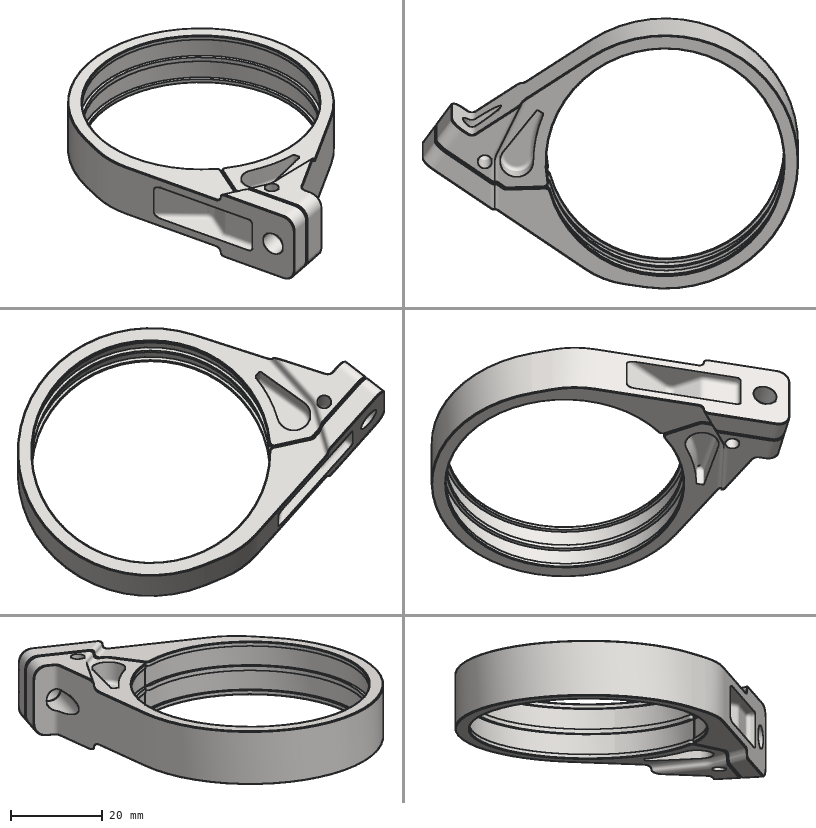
import cadquery as cq
import math

RING_RADIUS = 29.2
BORE_RADIUS = 26.1
RING_HEIGHT = 12.5
LUG_HEIGHT = 16.5
LUG_END_X = 43.85
BASE_Y = -30.3
SHOULDER_Y = -19.1
FLANK_ANGLE = 20.7
FLANK_FILLET = 1.45
BASE_BLEND_RADIUS = 20.0
LUG_CORNER_RADIUS = 3.0
MILL_RADIUS = 1.0
EDGE_BREAK = 0.2

LAND_WIDTH = 1.0
GROOVE_DEPTH = 0.7

SLOT_WIDTH = 0.2
SLOT_Y = -25.2
SLOT_BEND_X = 25.15
SLOT_SLOPE = 36.9
SLOT_BEND_RADIUS = 1.45
SLOT_RUN_IN = 10.95
MOUTH_FILLET = 1.0

STEP_BASE_X = 24.4
STEP_BEND = (31.3, -20.5)
STEP_UPPER_LEAN = 10.0
STEP_BEND_RADIUS = 4.4
STEP_WALL = 0.04

POCKET_LEFT_X = 7.2
POCKET_DEEP_X = 18.3
POCKET_RIGHT_X = 32.9
POCKET_ENTRY_SLOPE = 31.5
POCKET_FLOOR_DEPTH = 2.0
POCKET_HEIGHT = 8.2
POCKET_BEND_RADIUS = 2.0

TEARDROP_CENTER = (26.75, -18.55)
TEARDROP_RADIUS = 3.65
TEARDROP_TIP_Y = -6.3
TEARDROP_TIP_RIGHT_X = 29.9
TEARDROP_DEPTH = 5.0
TEARDROP_FLOOR_FILLET = 0.95
TIP_FILLET = 0.4
ROUND_POCKET_CENTER = (32.75, -22.2)
ROUND_POCKET_RADIUS = 1.5

BOLT_X = 38.3
BOLT_DIAMETER = 5.2

RING_TOP = RING_HEIGHT / 2
LUG_TOP = LUG_HEIGHT / 2
POCKET_FLOOR_Z = RING_TOP - TEARDROP_DEPTH
CLEAR = 3.65
FAR = 87.7


def polar(radius, degrees):
    return radius * math.cos(math.radians(degrees)), radius * math.sin(math.radians(degrees))


def bent_path(start, corner, end, radius):
    """Two straight runs joined by a tangent arc, in the XY plane."""
    a, b, c = cq.Vector(*start), cq.Vector(*corner), cq.Vector(*end)
    u, v = (a - b).normalized(), (c - b).normalized()
    half = u.getAngle(v) / 2
    tangent = radius / math.tan(half)
    mid = b + (u + v).normalized() * (radius / math.sin(half) - radius)
    p, q = b + u * tangent, b + v * tangent
    return (
        cq.Workplane("XY")
        .moveTo(a.x, a.y)
        .lineTo(p.x, p.y)
        .threePointArc((mid.x, mid.y), (q.x, q.y))
        .lineTo(c.x, c.y)
    )


def make_blank():
    """Ring and lug outline at full lug height."""
    flank_start = polar(RING_RADIUS, FLANK_ANGLE)
    cos_f, sin_f = polar(1, FLANK_ANGLE)
    flank_end = ((RING_RADIUS - SHOULDER_Y * sin_f) / cos_f, SHOULDER_Y)

    blend_center_y = BASE_Y + BASE_BLEND_RADIUS
    tangent_angle = -90 - math.degrees(math.acos((RING_RADIUS - BASE_BLEND_RADIUS) / -blend_center_y))
    blend_x, blend_y = polar(BASE_BLEND_RADIUS, tangent_angle)
    mid_x, mid_y = polar(BASE_BLEND_RADIUS, (tangent_angle - 90) / 2)
    ring_end = polar(RING_RADIUS, tangent_angle)

    blank = (
        cq.Workplane("XY", origin=(0, 0, -LUG_TOP))
        .moveTo(0, BASE_Y)
        .lineTo(LUG_END_X, BASE_Y)
        .lineTo(LUG_END_X, SHOULDER_Y)
        .lineTo(*flank_end)
        .lineTo(*flank_start)
        .threePointArc((-RING_RADIUS, 0), ring_end)
        .lineTo(blend_x, blend_center_y + blend_y)
        .threePointArc((mid_x, blend_center_y + mid_y), (0, BASE_Y))
        .close()
        .extrude(LUG_HEIGHT)
    )
    blank = blank.edges(cq.selectors.NearestToPointSelector((*flank_end, 0))).fillet(FLANK_FILLET)
    return blank.faces(">X").edges("|Y").fillet(LUG_CORNER_RADIUS)


def cut_step(body):
    """Lower one face of the ring beside the lug, leaving an S-shaped step."""
    bend_x, bend_y = STEP_BEND
    down_x, down_y = STEP_BASE_X - bend_x, BASE_Y - bend_y
    up_x, up_y = polar(FAR, 90 - STEP_UPPER_LEAN)
    overrun = FAR / math.hypot(down_x, down_y)
    start = (bend_x + overrun * down_x, bend_y + overrun * down_y)
    end = (bend_x + up_x, bend_y + up_y)
    at_bend = cq.selectors.NearestToPointSelector((bend_x, bend_y, LUG_TOP))

    cutter = (
        bent_path(start, STEP_BEND, end, STEP_BEND_RADIUS)
        .lineTo(-FAR, end[1])
        .lineTo(-FAR, start[1])
        .close()
        .extrude(LUG_TOP)
        .translate((0, 0, RING_TOP))
    )
    round_radius = (LUG_TOP - RING_TOP - STEP_WALL) / 2
    cutter = cutter.faces("<Z").edges(at_bend).fillet(round_radius)
    return body.cut(cutter).faces(">Z").edges(at_bend).fillet(round_radius)


def slot_cutter():
    corner = (SLOT_BEND_X, SLOT_Y)
    in_x, in_y = polar(SLOT_RUN_IN, 180 - SLOT_SLOPE)
    start = (corner[0] + in_x, corner[1] + in_y)
    path = bent_path(start, corner, (LUG_END_X + CLEAR, SLOT_Y), SLOT_BEND_RADIUS)
    return (
        cq.Workplane(cq.Plane(origin=(*start, 0), xDir=(-in_y, in_x, 0), normal=(-in_x, -in_y, 0)))
        .rect(SLOT_WIDTH, FAR)
        .sweep(path)
    )


def mouth_edges(body):
    """The two upright corners where the slot opens into the bore."""
    in_x, in_y = polar(1, 180 - SLOT_SLOPE)
    across = SLOT_Y * in_x - SLOT_BEND_X * in_y
    picked = []
    for side in (-1, 1):
        offset = across + side * SLOT_WIDTH / 2
        along = -math.sqrt(BORE_RADIUS**2 - offset**2)
        corner = (along * in_x - offset * in_y, along * in_y + offset * in_x, 0)
        picked += body.edges(cq.selectors.NearestToPointSelector(corner)).vals()
    return body.newObject(picked)


def break_edge(body, near_point):
    """Chamfer the edge centred nearest to a point and the whole run of edges tangent to it."""
    return body.edges(cq.selectors.NearestToPointSelector(near_point)).chamfer(EDGE_BREAK)


def groove_cutter():
    """One of two wide grooves between three narrow lands."""
    height = (RING_HEIGHT - 3 * LAND_WIDTH) / 2
    return (
        cq.Workplane("XY", origin=(0, 0, LAND_WIDTH / 2))
        .circle(BORE_RADIUS + GROOVE_DEPTH)
        .extrude(height)
    )


def underside_pocket_cutter():
    rise = math.tan(math.radians(POCKET_ENTRY_SLOPE))
    deep_y = BASE_Y + (POCKET_DEEP_X - POCKET_LEFT_X) * rise
    floor_y = BASE_Y + POCKET_FLOOR_DEPTH
    crest_x = POCKET_DEEP_X + (deep_y - floor_y) / math.tan(math.radians(SLOT_SLOPE))
    outside_y = BASE_Y - CLEAR

    def upright(x, y):
        return cq.selectors.NearestToPointSelector((x, y, 0))

    cutter = (
        cq.Workplane("XY", origin=(0, 0, -POCKET_HEIGHT / 2))
        .moveTo(POCKET_LEFT_X - CLEAR / rise, outside_y)
        .lineTo(POCKET_DEEP_X, deep_y)
        .lineTo(crest_x, floor_y)
        .lineTo(POCKET_RIGHT_X, floor_y)
        .lineTo(POCKET_RIGHT_X, outside_y)
        .close()
        .extrude(POCKET_HEIGHT)
    )
    cutter = cutter.edges(upright(POCKET_DEEP_X, deep_y)).fillet(POCKET_BEND_RADIUS)
    cutter = cutter.edges(upright(crest_x, floor_y)).fillet(POCKET_BEND_RADIUS)
    cutter = cutter.edges(upright(POCKET_RIGHT_X, floor_y)).fillet(MILL_RADIUS)
    floor_edges = cutter.faces("|Z").edges("not <Y")
    return floor_edges.fillet(MILL_RADIUS)


def teardrop_cutter():
    center_x, center_y = TEARDROP_CENTER
    center_angle = math.degrees(math.atan2(center_y, center_x))
    side_radius = math.hypot(center_x, center_y) - TEARDROP_RADIUS
    tip_angle = math.degrees(math.asin(TEARDROP_TIP_Y / side_radius))
    side_tip = polar(side_radius, tip_angle)
    side_mid = polar(side_radius, (tip_angle + center_angle) / 2)
    side_end = polar(side_radius, center_angle)

    cutter = (
        cq.Workplane("XY", origin=(0, 0, POCKET_FLOOR_Z))
        .moveTo(*side_tip)
        .lineTo(TEARDROP_TIP_RIGHT_X, TEARDROP_TIP_Y)
        .lineTo(center_x + TEARDROP_RADIUS, center_y)
        .threePointArc((center_x, center_y - TEARDROP_RADIUS), side_end)
        .threePointArc(side_mid, side_tip)
        .close()
        .extrude(LUG_HEIGHT)
    )
    cutter = cutter.edges("|Z").edges(">Y").fillet(TIP_FILLET)
    return cutter.faces("<Z").edges().fillet(TEARDROP_FLOOR_FILLET)


def round_pocket_cutter():
    return (
        cq.Workplane("XY", origin=(*ROUND_POCKET_CENTER, POCKET_FLOOR_Z))
        .circle(ROUND_POCKET_RADIUS)
        .extrude(LUG_HEIGHT)
        .faces("<Z")
        .edges()
        .fillet(MILL_RADIUS)
    )


def cut_both_faces(body, cutter):
    """Cut the upper face and, mirrored, the lower one."""
    return body.cut(cutter).cut(cutter.mirror("XY"))


result = cut_step(make_blank()).mirror("XY")
result = cut_step(result)
result = break_edge(result, (-RING_RADIUS, 0, RING_TOP))

result = result.cut(cq.Workplane("XY").circle(BORE_RADIUS).extrude(LUG_HEIGHT, both=True))
result = result.cut(slot_cutter())
result = mouth_edges(result).fillet(MOUTH_FILLET)
result = break_edge(result, ((SLOT_BEND_X + LUG_END_X) / 2, SLOT_Y + SLOT_WIDTH / 2, LUG_TOP))

result = cut_both_faces(result, groove_cutter())
result = result.cut(underside_pocket_cutter())
result = cut_both_faces(result, teardrop_cutter())
result = cut_both_faces(result, round_pocket_cutter())

bolt_hole = cq.Workplane("XZ", origin=(BOLT_X, 0, 0)).circle(BOLT_DIAMETER / 2).extrude(FAR, both=True)
result = result.cut(bolt_hole)